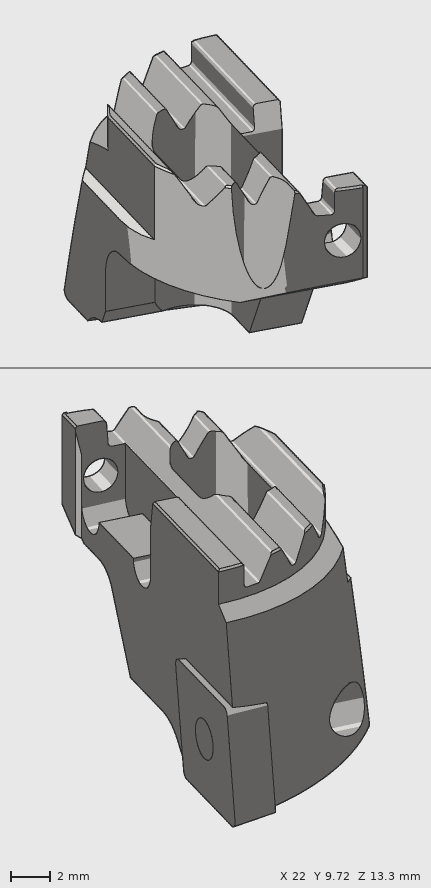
import cadquery as cq
import math

overall_length = 22.0
top_z = 13.3
back_y = 9.3
margin = 0.45

tail_radius = 9.53
axis_x = overall_length - tail_radius
axis_y = tail_radius
tooth_cylinder_radius = 9.45
nose_shoulder_radius = 10.43
shoulder_low_z = 10.75
shoulder_high_z = 11.35
nose_slope = math.tan(math.radians(10))
rim_chamfer = 0.1

underside_front_z = 1.19
underside_back_z = 0.2
nose_edge_radius = 0.4

flat_y = 0.53
step_low_z = 8.8
step_high_z = 9.05

ledge_z = 6.85
foot_z = 1.94
foot_start_x = 10.0
foot_end_x = 14.01
foot_arc_radius = 2.65
foot_angle = math.radians(45)
heel_angle = math.radians(60)
ledge_radius = 1.87
tail_bevel_start_x = 19.82
tail_bevel_angle = math.radians(30)

recess_left_x = 10.5
recess_bevel_z = 2.77

slot_left_x = 9.81
slot_right_x = 17.27
slot_front_y = 2.13
slot_back_y = 6.42

groove_pitch = 2.5
first_groove_y = 1.98
groove_count = 3
groove_floor_z = 11.9
groove_floor_half_width = 0.13
groove_flank_angle = math.radians(30)
tooth_rounding = 0.2
tab_front_y = 7.8

window_left_x = 11.48
window_right_x = 20.09
window_front_y = 6.89
window_floor_z = 8.93
window_groove_radius = 1.08
window_flare_z = 11.75
window_flare = 0.29

pad_height = 0.25

cross_hole_radius = 0.95
cross_hole_y = 8.25
cross_hole_z = 10.38

tail_groove_radius = 1.5
tail_groove_x = 20.33
tail_groove_y = 4.38
tail_groove_tilt_x = 15.2
tail_groove_tilt_y = 8.0

insert_inscribed_diameter = 6.35
insert_thickness = 2.38
insert_back_y = 9.72
insert_corner_radius = 0.4
insert_lean = math.radians(10)
insert_relief = 7.0

screw_x = 3.85
screw_z = 3.35
screw_radius = 1.1
screw_tip_y = 3.25
screw_chamfer = 0.26
counterbore_radius = 1.32
counterbore_floor_y = 3.52


def extrude_along_y(profile, start_y, end_y):
    """Extrude a closed sketch of the XZ plane between two Y positions."""
    return profile.extrude(start_y - end_y).translate((0, start_y, 0))


def cylinder_along_y(x, z, radius, start_y, end_y):
    return extrude_along_y(cq.Workplane("XZ").center(x, z).circle(radius), start_y, end_y)


def make_nose():
    """Left half: a cone below a shoulder and the tooth cylinder, with a sloping underside."""
    base_radius = nose_shoulder_radius + (shoulder_low_z + margin) * nose_slope
    nose = (
        cq.Workplane("XZ")
        .moveTo(0, -margin)
        .lineTo(base_radius, -margin)
        .lineTo(nose_shoulder_radius, shoulder_low_z)
        .lineTo(tooth_cylinder_radius, shoulder_high_z)
        .lineTo(tooth_cylinder_radius, top_z - rim_chamfer)
        .lineTo(tooth_cylinder_radius - rim_chamfer, top_z)
        .lineTo(0, top_z)
        .close()
        .revolve(360, (0, 0, 0), (0, 1, 0))
        .translate((axis_x, axis_y, 0))
    )
    keep = (
        cq.Workplane("YZ")
        .moveTo(0, underside_front_z)
        .lineTo(back_y, underside_back_z)
        .lineTo(back_y, top_z)
        .lineTo(0, top_z)
        .close()
        .extrude(axis_x + margin)
        .translate((-margin, 0, 0))
    )
    nose = nose.intersect(keep)
    bottom_face = nose.faces("<Z")
    return bottom_face.edges("not %LINE").fillet(nose_edge_radius)


def make_tail():
    """Right half: a quarter cylinder with a chamfered top rim."""
    tail = (
        cq.Workplane("XY")
        .circle(tail_radius)
        .extrude(top_z)
        .faces(">Z")
        .chamfer(rim_chamfer)
        .translate((axis_x, axis_y, 0))
    )
    quarter = cq.Workplane("XY").box(tail_radius, back_y, top_z, centered=False)
    return tail.intersect(quarter.translate((axis_x, 0, 0)))


def make_pad():
    """Raised pad behind the right tab, beveled on the window side."""
    return (
        cq.Workplane("XY")
        .moveTo(window_right_x, back_y)
        .lineTo(window_right_x + pad_height, back_y + pad_height)
        .lineTo(overall_length, back_y + pad_height)
        .lineTo(overall_length, back_y)
        .close()
        .extrude(top_z)
        .edges(">Y and >Z")
        .chamfer(rim_chamfer)
    )


def make_side_profile():
    """Outline that the whole housing keeps when looked at along Y."""
    foot_arc_start = (
        foot_start_x - foot_arc_radius * math.sin(foot_angle),
        foot_z - foot_arc_radius * (1 - math.cos(foot_angle)),
    )
    foot_arc_mid = (
        foot_start_x - foot_arc_radius * math.sin(foot_angle / 2),
        foot_z - foot_arc_radius * (1 - math.cos(foot_angle / 2)),
    )
    base_end_x = foot_arc_start[0] - (foot_arc_start[1] + margin) / math.tan(foot_angle)
    heel_corner_x = foot_end_x + (ledge_z - foot_z) / math.tan(heel_angle)
    tangent = ledge_radius * math.tan(heel_angle / 2)
    heel_arc_start = (
        heel_corner_x - tangent * math.cos(heel_angle),
        ledge_z - tangent * math.sin(heel_angle),
    )
    heel_arc_end = (heel_corner_x + tangent, ledge_z)
    heel_arc_mid = (
        heel_arc_end[0] - ledge_radius * math.sin(heel_angle / 2),
        ledge_z - ledge_radius * (1 - math.cos(heel_angle / 2)),
    )
    right_x = overall_length + margin
    bevel_end_z = ledge_z + (right_x - tail_bevel_start_x) * math.tan(tail_bevel_angle)
    profile = (
        cq.Workplane("XZ")
        .moveTo(-margin, -margin)
        .lineTo(base_end_x, -margin)
        .lineTo(*foot_arc_start)
        .threePointArc(foot_arc_mid, (foot_start_x, foot_z))
        .lineTo(foot_end_x, foot_z)
        .lineTo(*heel_arc_start)
        .threePointArc(heel_arc_mid, heel_arc_end)
        .lineTo(tail_bevel_start_x, ledge_z)
        .lineTo(right_x, bevel_end_z)
        .lineTo(right_x, top_z + margin)
        .lineTo(-margin, top_z + margin)
        .close()
    )
    return extrude_along_y(profile, -margin, back_y + margin)


def make_front_flat():
    """Material removed in front of the flat above the step."""
    return (
        cq.Workplane("YZ")
        .moveTo(0, step_low_z)
        .lineTo(flat_y, step_high_z)
        .lineTo(flat_y, top_z - rim_chamfer)
        .lineTo(flat_y + rim_chamfer, top_z)
        .lineTo(flat_y + rim_chamfer, top_z + margin)
        .lineTo(-margin, top_z + margin)
        .lineTo(-margin, step_low_z)
        .close()
        .extrude(overall_length)
    )


def make_recess():
    """Open space under the ledge: to mid-slot beside the foot, then to the slot's rear wall."""
    arc_mid = (
        recess_left_x + ledge_radius * (1 - math.cos(math.pi / 4)),
        ledge_z - ledge_radius * (1 - math.sin(math.pi / 4)),
    )
    profile = (
        cq.Workplane("XZ")
        .moveTo(foot_start_x, -margin)
        .lineTo(foot_start_x, foot_z)
        .lineTo(recess_left_x, recess_bevel_z)
        .lineTo(recess_left_x, ledge_z - ledge_radius)
        .threePointArc(arc_mid, (recess_left_x + ledge_radius, ledge_z))
        .lineTo(tail_bevel_start_x, ledge_z)
        .lineTo(tail_bevel_start_x, -margin)
        .close()
    )
    slot_mid_y = (slot_front_y + slot_back_y) / 2
    slot_arc_center_x = slot_left_x + (slot_back_y - slot_front_y) / 2
    deep_part = (
        cq.Workplane("XY")
        .box(tail_bevel_start_x - slot_arc_center_x, slot_back_y - slot_mid_y, ledge_z, centered=False)
        .translate((slot_arc_center_x, slot_mid_y, 0))
    )
    return extrude_along_y(profile, -margin, slot_mid_y).union(deep_part)


def make_slot():
    return (
        cq.Workplane("XY")
        .center((slot_left_x + slot_right_x) / 2, (slot_front_y + slot_back_y) / 2)
        .slot2D(slot_right_x - slot_left_x, slot_back_y - slot_front_y)
        .extrude(top_z + margin)
    )


def make_toothed_block():
    """Block that the housing keeps: V grooves along X between rounded teeth, and the upright tab."""
    half_top = groove_floor_half_width + (top_z - groove_floor_z) * math.tan(groove_flank_angle)
    outline = [(-margin, -margin), (-margin, top_z)]
    for index in range(groove_count):
        center_y = first_groove_y + index * groove_pitch
        outline.append((center_y - half_top, top_z))
        outline.append((center_y - groove_floor_half_width, groove_floor_z))
        if index < groove_count - 1:
            outline.append((center_y + groove_floor_half_width, groove_floor_z))
            outline.append((center_y + half_top, top_z))
    outline.append((tab_front_y, groove_floor_z))
    outline.append((tab_front_y, top_z))
    outline.append((back_y + margin, top_z))
    outline.append((back_y + margin, -margin))
    block = cq.Workplane("YZ").polyline(outline).close().extrude(overall_length)
    tooth_edges = cq.selectors.BoxSelector(
        (-margin, 0, groove_floor_z - margin), (overall_length + margin, back_y, top_z + margin)
    )
    return block.edges("|X").edges(tooth_edges).fillet(tooth_rounding)


def make_back_rim():
    """Bevel along the top back edge of the left tab."""
    return (
        cq.Workplane("YZ")
        .moveTo(back_y - rim_chamfer, top_z)
        .lineTo(back_y, top_z)
        .lineTo(back_y, top_z - rim_chamfer)
        .close()
        .extrude(window_left_x)
    )


def make_window():
    """Window between the tabs: flared at the top, a round groove at each end of its floor."""
    lowest_z = window_floor_z - window_groove_radius
    diameter = 2 * window_groove_radius
    profile = (
        cq.Workplane("XZ")
        .moveTo(window_left_x - window_flare, top_z)
        .lineTo(window_left_x, window_flare_z)
        .lineTo(window_left_x, window_floor_z)
        .threePointArc(
            (window_left_x + window_groove_radius, lowest_z),
            (window_left_x + diameter, window_floor_z),
        )
        .lineTo(window_right_x - diameter, window_floor_z)
        .threePointArc(
            (window_right_x - window_groove_radius, lowest_z),
            (window_right_x, window_floor_z),
        )
        .lineTo(window_right_x, window_flare_z)
        .lineTo(window_right_x + window_flare, top_z)
        .close()
    )
    return extrude_along_y(profile, window_front_y, back_y + margin)


def make_cross_hole():
    return (
        cq.Workplane("YZ")
        .center(cross_hole_y, cross_hole_z)
        .circle(cross_hole_radius)
        .extrude(overall_length - window_right_x + 2 * margin)
        .translate((window_right_x - margin, 0, 0))
    )


def make_tail_groove():
    """Round groove, open toward +X, that leans outward as it goes down and runs out of the tail."""
    open_side = cq.Workplane("XY").box(
        2 * tail_groove_radius, 2 * tail_groove_radius, 4 * top_z, centered=(False, True, True)
    )
    return (
        cq.Workplane("XY")
        .circle(tail_groove_radius)
        .extrude(2 * top_z, both=True)
        .union(open_side)
        .rotate((0, 0, 0), (0, 1, 0), -tail_groove_tilt_x)
        .rotate((0, 0, 0), (1, 0, 0), -tail_groove_tilt_y)
        .translate((tail_groove_x, tail_groove_y, top_z))
    )


def make_insert_blank():
    """Rhombic insert with rounded corners; its sides lean inward toward the front."""
    side = insert_inscribed_diameter / math.cos(insert_lean)
    lean_x = side * math.sin(insert_lean)
    height = insert_inscribed_diameter
    corner_x = -insert_corner_radius * (1 / math.cos(insert_lean) + math.tan(insert_lean) - 1)
    outline = [(0, 0), (side, 0), (side + lean_x, height), (lean_x, height)]
    sketch = cq.Sketch().polygon(outline + outline[:1]).vertices().fillet(insert_corner_radius)
    return (
        cq.Workplane("XZ")
        .placeSketch(sketch)
        .extrude(insert_thickness, taper=insert_relief)
        .translate((corner_x, insert_back_y, 0))
    )


def make_screw():
    """Plain screw, flush with the back of the insert and chamfered at its tip."""
    screw = cylinder_along_y(screw_x, screw_z, screw_radius, screw_tip_y, insert_back_y)
    return screw.faces("<Y").chamfer(screw_chamfer)


def make_housing(insert_blank):
    housing = make_nose().union(make_tail()).union(make_pad())
    housing = housing.intersect(make_side_profile())
    housing = housing.cut(make_front_flat())
    housing = housing.cut(make_recess())
    housing = housing.cut(make_slot())
    housing = housing.intersect(make_toothed_block())
    housing = housing.cut(make_back_rim())
    housing = housing.cut(make_window())
    housing = housing.cut(make_cross_hole())
    housing = housing.cut(make_tail_groove())
    housing = housing.cut(insert_blank)
    screw_hole = cylinder_along_y(screw_x, screw_z, screw_radius, 0, back_y)
    counterbore = cylinder_along_y(screw_x, screw_z, counterbore_radius, -margin, counterbore_floor_y)
    return housing.cut(screw_hole).cut(counterbore)


insert_blank = make_insert_blank()
housing = make_housing(insert_blank)
insert = insert_blank.cut(cylinder_along_y(screw_x, screw_z, screw_radius, 0, insert_back_y + margin))
screw = make_screw()

result = cq.Compound.makeCompound([housing.val(), insert.val(), screw.val()])